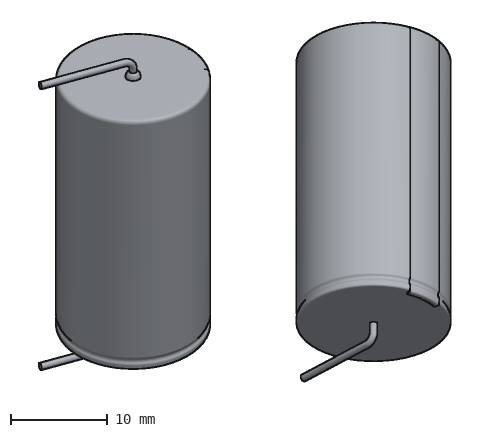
import cadquery as cq
import math

can_radius = 8.0
can_height = 31.5
top_flat_radius = 15.0 / 2
top_round = can_radius - top_flat_radius

bottom_round = 0.2
bead_lip_bottom = 0.55
bead_bottom = 0.75
bead_top = 1.35
bead_lip_top = 1.55
bead_lip_depth = 0.07
bead_depth = 0.18

band_half_angle = 15.0
band_thickness = 0.018
hook_inner_radius = 7.27
hook_drop = 0.2

lead_radius = 0.8 / 2
lead_bend_radius = 1.0
lead_rise = 2.45
lead_axis_offset = lead_rise - lead_radius
overall_depth = 18.6
lead_reach = overall_depth - can_radius - band_thickness
lead_embed = 0.35
dome_radius = 0.8

diagonal = math.sqrt(0.5)


def revolve_can(wall_radius, sweep_angle):
    """Can profile with the given wall radius, turned about Z from the +X direction."""
    bead_mid = (bead_bottom + bead_top) / 2
    lip_radius = wall_radius - bead_lip_depth
    lip_mid_radius = wall_radius - bead_lip_depth / 4
    bottom_center = wall_radius - bottom_round
    flat_radius = wall_radius - top_round
    profile = (
        cq.Workplane("XZ")
        .lineTo(bottom_center, 0)
        .threePointArc(
            (bottom_center + bottom_round * diagonal, bottom_round * (1 - diagonal)),
            (wall_radius, bottom_round),
        )
        .lineTo(wall_radius, bead_lip_bottom)
        .threePointArc((lip_mid_radius, (bead_lip_bottom + bead_bottom) / 2), (lip_radius, bead_bottom))
        .threePointArc((wall_radius - bead_depth, bead_mid), (lip_radius, bead_top))
        .threePointArc((lip_mid_radius, (bead_top + bead_lip_top) / 2), (wall_radius, bead_lip_top))
        .lineTo(wall_radius, can_height - top_round)
        .threePointArc(
            (flat_radius + top_round * diagonal, can_height - top_round * (1 - diagonal)),
            (flat_radius, can_height),
        )
        .lineTo(0, can_height)
        .close()
    )
    return profile.revolve(sweep_angle, (0, 0, 0), (0, 1, 0))


def revolve_hook(wall_radius, sweep_angle):
    """Rounded lip that carries the band below the bottom face."""
    bulge = hook_drop * diagonal
    outer_center = wall_radius - hook_drop
    inner_center = hook_inner_radius + hook_drop
    profile = (
        cq.Workplane("XZ")
        .moveTo(hook_inner_radius, bottom_round)
        .lineTo(hook_inner_radius, 0)
        .threePointArc((inner_center - bulge, -bulge), (inner_center, -hook_drop))
        .lineTo(outer_center, -hook_drop)
        .threePointArc((outer_center + bulge, -bulge), (wall_radius, 0))
        .lineTo(wall_radius, bottom_round)
        .close()
    )
    return profile.revolve(sweep_angle, (0, 0, 0), (0, 1, 0))


def make_band():
    """Band centred on the +Y side of the can."""
    band_radius = can_radius + band_thickness
    band_angle = 2 * band_half_angle
    band = revolve_can(band_radius, band_angle).union(revolve_hook(band_radius, band_angle))
    middle = band.val().Center()
    turn = 90 - math.degrees(math.atan2(middle.y, middle.x))
    return band.rotate((0, 0, 0), (0, 0, 1), turn)


def make_lead(face_height, outward):
    """Wire leaving an end face along Z (outward is +1 or -1), then bending towards -Y."""
    axis_height = face_height + outward * lead_axis_offset
    bend_start = axis_height - outward * lead_bend_radius
    path = (
        cq.Workplane("YZ")
        .moveTo(0, face_height - outward * lead_embed)
        .lineTo(0, bend_start)
        .threePointArc(
            (-lead_bend_radius * (1 - diagonal), bend_start + outward * lead_bend_radius * diagonal),
            (-lead_bend_radius, axis_height),
        )
        .lineTo(-lead_reach, axis_height)
    )
    start = cq.Workplane("XY", origin=(0, 0, face_height - outward * lead_embed))
    return start.circle(lead_radius).sweep(path)


solder_dome = cq.Workplane("XY", origin=(0, 0, can_height)).sphere(dome_radius)

result = (
    revolve_can(can_radius, 360)
    .union(make_band())
    .union(solder_dome)
    .union(make_lead(can_height, 1))
    .union(make_lead(0, -1))
)